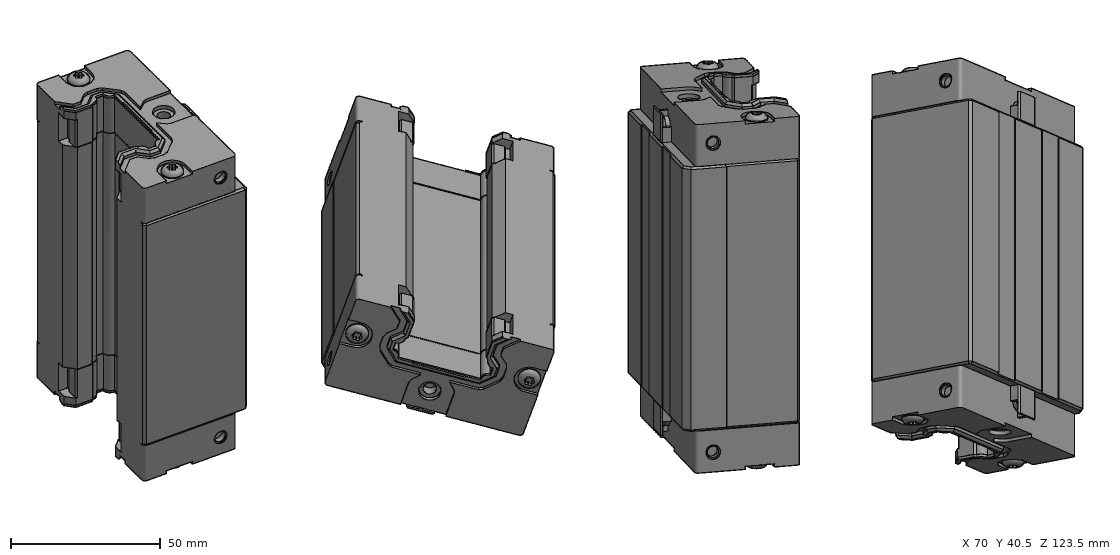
import cadquery as cq
import math


WIDTH = 70.0
HEIGHT = 40.5
LENGTH = 123.5
HALF_WIDTH = WIDTH / 2
HALF_LENGTH = LENGTH / 2

BODY_HALF_LENGTH = 46.2
BODY_END_CHAMFER = 0.7
DATUM_BEVEL = 2.5
PLAIN_BEVEL = 1.0
DATUM_LOW_Y = 25.6
DATUM_STEP = 0.4
BACK_GROOVE_DEPTH = 0.4
BACK_GROOVE_INNER_X = 8.0
BACK_GROOVE_OUTER_X = 18.0

CAP_HALF_WIDTH = 34.7
CAP_BACK_Y = 36.3
CAP_FACE_Z = 60.9
CAP_CORNER_RADIUS = 1.2
RECESS_FLOOR_Z = 59.8

PLUG_HALF_WIDTH = 5.0
PLUG_BACK_Y = 40.0
PLUG_BEVEL = 0.6
PLUG_BASE_TOP_Z = 51.4
PLUG_TOP_Z = 56.1
PLUG_NECK_DIAMETER = 7.4
PLUG_HEAD_DIAMETER = 9.9
PLUG_NECK_Y = 37.9
PLUG_HEAD_Y = 39.3
PLUG_AXIS_Z = 50.4
PLUG_RIB_WIDTH = 1.2

LAND_RADIUS = 2.6
NOTCH_TOP_Y = 15.5
NOTCH_BOTTOM_Y = 12.6
NOTCH_DEPTH = 3.3
BODY_LIP_X = 13.8
BODY_LIP_FOOT_Y = 3.6
BODY_OPENING_Y = 18.6
CAP_LIP_X = 13.6
CAP_LIP_FOOT_Y = 2.8
CAP_OPENING_Y = 18.3
SEAL_CLEARANCE = 0.1

CHANNEL_TOP_Y = 22.8
CHANNEL_WAIST_X = 18.2
CHANNEL_FOOT_Y = 4.6
SEAL_WAIST_X = 15.7
SEAL_FOOT_Y = 3.8
SEAL_BEVEL = 0.9
SEAL_RELIEF_HALF_WIDTH = 9.3
SEAL_RELIEF_Y = 18.8

TAB_HALF_WIDTH = 7.9
TAB_STRAIGHT_Y = 27.0
TAB_SHOULDER_MIDDLE = (7.5, 25.8)
TAB_SHOULDER_END = (6.8, 24.8)
TAB_NECK_HALF_WIDTH = 5.2
TAB_NECK_Y = 23.0
TAB_BOTTOM_Y = 21.0

PORT_Y = 28.9
PORT_COUNTERBORE = 7.4
PORT_COUNTERBORE_DEPTH = 1.5
PORT_BORE = 4.5
PORT_BORE_DEPTH = 3.7
SIDE_PORT_Y = 30.1
SIDE_PORT_Z = 54.0
SIDE_PORT_MOUTH = 5.0
SIDE_PORT_BORE = 4.0
SIDE_PORT_MOUTH_DEPTH = 0.5
SIDE_PORT_DEPTH = 2.5

SCREW_X = 30.1
SCREW_Y = 14.0
SCREW_HEAD_DIAMETER = 7.7
SCREW_TOP_DIAMETER = 3.7
SCREW_RIM_HEIGHT = 0.4
SCREW_DOME_BULGE = 0.31
SLOT_RADIUS = 5.1
SOCKET_DIAMETER = 2.5
SOCKET_LOBE_DIAMETER = 1.0
SOCKET_LOBES = 6
SOCKET_DEPTH = 1.5

POCKET_OUTER_X = 20.0
POCKET_LEDGE_INNER_X = 14.2
POCKET_LEDGE_OUTER_X = 18.0
POCKET_LEDGE_Y = 2.8
POCKET_GROOVE_X = 18.5
POCKET_GROOVE_Y = 3.5
POCKET_TOP_Z = 57.8

OVERCUT = 2.5


def box(x0, x1, y0, y1, z0, z1):
    return cq.Workplane("XY").box(x1 - x0, y1 - y0, z1 - z0, centered=False).translate((x0, y0, z0))


def both_sides(shape):
    """The shape and its mirror image across the middle plane X = 0."""
    return shape.union(shape.mirror("YZ"))


def symmetric_outline(half, z):
    """Closed outline at height z from the points of its +X half."""
    left = [(-x, y) for x, y in reversed(half)]
    return cq.Workplane("XY").workplane(offset=z).polyline(half + left).close()


def rail_opening(lip, foot, top, z0, z1):
    """Rail opening with convex round lands above and below the ball-track notch."""
    notch = lip + NOTCH_DEPTH
    land = notch - LAND_RADIUS
    mid_arc = LAND_RADIUS * (1 - math.sqrt(0.5))
    upper_mid = (land + mid_arc, NOTCH_TOP_Y + mid_arc)
    lower_mid = (land + mid_arc, NOTCH_BOTTOM_Y - mid_arc)
    shoulder_y = NOTCH_BOTTOM_Y - LAND_RADIUS - (land - lip)
    return both_sides(
        cq.Workplane("XY").workplane(offset=z0)
        .moveTo(0, top).lineTo(land, top).lineTo(land, NOTCH_TOP_Y + LAND_RADIUS)
        .threePointArc(upper_mid, (notch, NOTCH_TOP_Y))
        .lineTo(notch, NOTCH_BOTTOM_Y)
        .threePointArc(lower_mid, (land, NOTCH_BOTTOM_Y - LAND_RADIUS))
        .lineTo(lip, shoulder_y).lineTo(lip, foot)
        .lineTo(lip + foot + OVERCUT, -OVERCUT).lineTo(0, -OVERCUT).close()
        .extrude(z1 - z0)
    )


def body():
    outline = [
        (-HALF_WIDTH + DATUM_BEVEL, HEIGHT),
        (HALF_WIDTH - PLAIN_BEVEL, HEIGHT),
        (HALF_WIDTH, HEIGHT - PLAIN_BEVEL),
        (HALF_WIDTH, PLAIN_BEVEL),
        (HALF_WIDTH - PLAIN_BEVEL, 0),
        (-HALF_WIDTH + DATUM_STEP + PLAIN_BEVEL, 0),
        (-HALF_WIDTH + DATUM_STEP, PLAIN_BEVEL),
        (-HALF_WIDTH + DATUM_STEP, DATUM_LOW_Y),
        (-HALF_WIDTH, DATUM_LOW_Y),
        (-HALF_WIDTH, HEIGHT - DATUM_BEVEL),
    ]
    block = (
        cq.Workplane("XY").workplane(offset=-BODY_HALF_LENGTH)
        .polyline(outline).close().extrude(2 * BODY_HALF_LENGTH)
        .faces("<Z or >Z").edges("not <Y").chamfer(BODY_END_CHAMFER)
    )
    groove = box(
        BACK_GROOVE_INNER_X, BACK_GROOVE_OUTER_X, HEIGHT - BACK_GROOVE_DEPTH, HEIGHT + OVERCUT,
        -BODY_HALF_LENGTH, BODY_HALF_LENGTH,
    )
    block = block.cut(both_sides(groove))
    return block.cut(rail_opening(
        BODY_LIP_X, BODY_LIP_FOOT_Y, BODY_OPENING_Y, -BODY_HALF_LENGTH, BODY_HALF_LENGTH
    ))


def cap_block():
    block = box(-CAP_HALF_WIDTH, CAP_HALF_WIDTH, 0, CAP_BACK_Y, BODY_HALF_LENGTH, CAP_FACE_Z)
    return block.edges("|Z").fillet(CAP_CORNER_RADIUS)


def grease_plug():
    neck_radius = PLUG_NECK_DIAMETER / 2
    head_radius = PLUG_HEAD_DIAMETER / 2
    neck_length = PLUG_NECK_Y - CAP_BACK_Y
    head_length = PLUG_HEAD_Y - CAP_BACK_Y
    neck = (
        cq.Workplane("XY").lineTo(neck_radius, 0).lineTo(neck_radius, neck_length)
        .lineTo(head_radius, head_length).lineTo(0, head_length).close()
        .revolve(360, (0, 0, 0), (0, 1, 0))
        .translate((0, CAP_BACK_Y, PLUG_AXIS_Z))
    )
    base = box(
        -PLUG_HALF_WIDTH, PLUG_HALF_WIDTH, CAP_BACK_Y, PLUG_HEAD_Y,
        BODY_HALF_LENGTH, PLUG_BASE_TOP_Z,
    )
    half_rib = PLUG_RIB_WIDTH / 2
    rib = box(-half_rib, half_rib, CAP_BACK_Y, PLUG_HEAD_Y, BODY_HALF_LENGTH, PLUG_TOP_Z)
    head = box(
        -PLUG_HALF_WIDTH, PLUG_HALF_WIDTH, PLUG_HEAD_Y, PLUG_BACK_Y, BODY_HALF_LENGTH, PLUG_TOP_Z
    ).edges("|Z and >Y").chamfer(PLUG_BEVEL)
    return base.union(neck).union(rib).union(head)


def seal_channel():
    foot_run = CHANNEL_FOOT_Y + OVERCUT
    half = [
        (15.1, CHANNEL_TOP_Y), (16.5, 22.2), (21.0, 17.7), (21.6, 15.9), (21.6, 12.2), (21.0, 10.4),
        (CHANNEL_WAIST_X, 7.5), (CHANNEL_WAIST_X, CHANNEL_FOOT_Y),
        (CHANNEL_WAIST_X + foot_run, -OVERCUT),
    ]
    return symmetric_outline(half, RECESS_FLOOR_Z).extrude(OVERCUT)


def seal():
    foot_run = SEAL_FOOT_Y + OVERCUT
    half = [
        (14.7, 20.5), (19.1, 15.9), (19.1, 12.0), (SEAL_WAIST_X, 8.5),
        (SEAL_WAIST_X, SEAL_FOOT_Y), (SEAL_WAIST_X + foot_run, -OVERCUT),
    ]
    rim_z = HALF_LENGTH - SEAL_BEVEL
    wall = symmetric_outline(half, RECESS_FLOOR_Z).extrude(rim_z - RECESS_FLOOR_Z)
    bevel = symmetric_outline(half, rim_z).extrude(SEAL_BEVEL, taper=45)
    below = box(-WIDTH, WIDTH, -HEIGHT, 0, 0, LENGTH)
    relief = box(
        -SEAL_RELIEF_HALF_WIDTH, SEAL_RELIEF_HALF_WIDTH, 0, SEAL_RELIEF_Y, CAP_FACE_Z, HALF_LENGTH
    )
    return wall.union(bevel).cut(below).cut(relief)


def nipple_tab():
    """Recess round the end port, narrowing with a rounded shoulder into the seal channel."""
    return both_sides(
        cq.Workplane("XY").workplane(offset=RECESS_FLOOR_Z)
        .moveTo(0, HEIGHT).lineTo(TAB_HALF_WIDTH, HEIGHT).lineTo(TAB_HALF_WIDTH, TAB_STRAIGHT_Y)
        .threePointArc(TAB_SHOULDER_MIDDLE, TAB_SHOULDER_END)
        .lineTo(TAB_NECK_HALF_WIDTH, TAB_NECK_Y).lineTo(TAB_NECK_HALF_WIDTH, TAB_BOTTOM_Y)
        .lineTo(0, TAB_BOTTOM_Y).close()
        .extrude(OVERCUT)
    )


def screw_slot():
    slot = cq.Workplane("XY").center(SCREW_X, SCREW_Y).circle(SLOT_RADIUS).extrude(OVERCUT)
    tail = box(SCREW_X, HALF_WIDTH, SCREW_Y - SLOT_RADIUS, SCREW_Y + SLOT_RADIUS, 0, OVERCUT)
    return both_sides(slot.union(tail)).translate((0, 0, RECESS_FLOOR_Z))


def screw_head():
    rim = SCREW_HEAD_DIAMETER / 2
    top = SCREW_TOP_DIAMETER / 2
    height = HALF_LENGTH - RECESS_FLOOR_Z
    bulge = (
        (rim + top) / 2 + SCREW_DOME_BULGE,
        (SCREW_RIM_HEIGHT + height) / 2 + SCREW_DOME_BULGE,
    )
    head = (
        cq.Workplane("XZ").lineTo(rim, 0).lineTo(rim, SCREW_RIM_HEIGHT)
        .threePointArc(bulge, (top, height)).lineTo(0, height).close()
        .revolve(360, (0, 0, 0), (0, 1, 0))
    )
    socket = (
        cq.Workplane("XY").circle(SOCKET_DIAMETER / 2).extrude(SOCKET_DEPTH)
        .union(
            cq.Workplane("XY").polarArray(SOCKET_DIAMETER / 2, 0, 360, SOCKET_LOBES)
            .circle(SOCKET_LOBE_DIAMETER / 2).extrude(SOCKET_DEPTH)
        )
        .translate((0, 0, height - SOCKET_DEPTH))
    )
    return both_sides(head.cut(socket).translate((SCREW_X, SCREW_Y, RECESS_FLOOR_Z)))


def end_port():
    depth = PORT_COUNTERBORE_DEPTH + PORT_BORE_DEPTH
    bore = cq.Workplane("XY").circle(PORT_BORE / 2).extrude(-depth)
    counterbore = cq.Workplane("XY").circle(PORT_COUNTERBORE / 2).extrude(-PORT_COUNTERBORE_DEPTH)
    return bore.union(counterbore).translate((0, PORT_Y, RECESS_FLOOR_Z))


def side_ports():
    bore = cq.Workplane("YZ").circle(SIDE_PORT_BORE / 2).extrude(SIDE_PORT_DEPTH)
    mouth = cq.Workplane("YZ").circle(SIDE_PORT_MOUTH / 2).extrude(SIDE_PORT_MOUTH_DEPTH)
    port = bore.union(mouth).translate((-CAP_HALF_WIDTH, SIDE_PORT_Y, SIDE_PORT_Z))
    return both_sides(port)


def retainer_pocket():
    """Pocket with a bevelled ledge beside the rail and a slightly deeper groove outside it."""
    outline = [
        (0, -OVERCUT), (0, POCKET_GROOVE_Y), (CAP_LIP_X, POCKET_GROOVE_Y),
        (POCKET_LEDGE_INNER_X, POCKET_LEDGE_Y), (POCKET_LEDGE_OUTER_X, POCKET_LEDGE_Y),
        (POCKET_GROOVE_X, POCKET_GROOVE_Y), (POCKET_OUTER_X, POCKET_GROOVE_Y),
        (POCKET_OUTER_X, -OVERCUT),
    ]
    return both_sides(
        cq.Workplane("XY").workplane(offset=BODY_HALF_LENGTH)
        .polyline(outline).close().extrude(POCKET_TOP_Z - BODY_HALF_LENGTH)
    )


def end_cap():
    cap = cap_block().union(grease_plug())
    cap = cap.cut(seal_channel()).cut(nipple_tab()).cut(screw_slot())
    cap = cap.union(seal()).union(screw_head())
    cap = cap.cut(rail_opening(
        CAP_LIP_X, CAP_LIP_FOOT_Y, CAP_OPENING_Y, BODY_HALF_LENGTH, CAP_FACE_Z
    ))
    cap = cap.cut(rail_opening(
        CAP_LIP_X + SEAL_CLEARANCE, CAP_LIP_FOOT_Y, CAP_OPENING_Y + SEAL_CLEARANCE,
        CAP_FACE_Z, HALF_LENGTH,
    ))
    return cap.cut(retainer_pocket()).cut(end_port()).cut(side_ports())


cap = end_cap()
result = body().union(cap).union(cap.mirror("XY"))